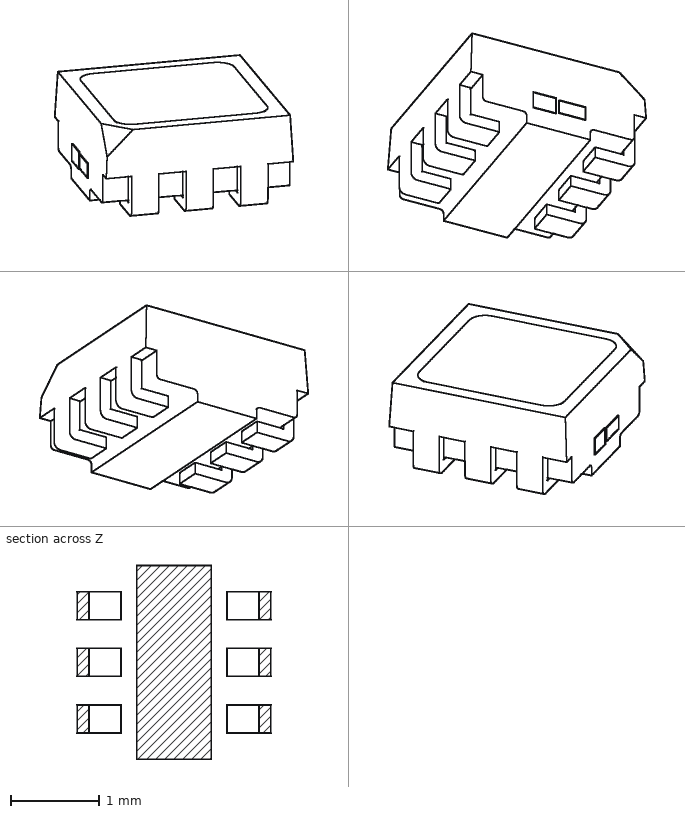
import cadquery as cq

body_width = 2.2
body_depth = 2.2
total_height = 1.05

housing_bottom = 0.5
draft_inset = 0.029
corner_cut = 0.295

cavity_width = 1.801
cavity_depth = 0.197
cavity_wall_angle = 45.0
cavity_corner_radius = 0.2
cavity_foot_radius = 0.201

core_width = 1.9
core_bottom = 0.148
core_radius = 0.049
rib_width = 0.8

lead_thickness = 0.14
lead_foot_length = 0.5
lead_bend_radius = 0.085
lead_width = 0.32
lead_pitch = 0.64
leads_per_side = 3

marking_height = 0.01
marking_embed = 0.022
emblem_pad = {"x": -0.177, "z": 0.335, "width": 0.287, "height": 0.208}
text_pad = {"x": 0.17, "z": 0.335, "width": 0.332, "height": 0.172}


def make_housing():
    """Block whose four sides lean inwards towards the top."""
    top_width = body_width - 2 * draft_inset
    top_depth = body_depth - 2 * draft_inset
    return (
        cq.Workplane("XY", origin=(0, 0, housing_bottom))
        .rect(body_width, body_depth)
        .workplane(offset=total_height - housing_bottom)
        .rect(top_width, top_depth)
        .loft(ruled=True)
    )


def make_corner_cut():
    """Block that removes the top corner at +X, -Y by an evenly tilted plane."""
    top_x = body_width / 2 - draft_inset
    top_y = -(body_depth / 2 - draft_inset)
    drop_share = corner_cut / (total_height - housing_bottom)
    edge_shift = draft_inset * drop_share

    on_front_edge = cq.Vector(top_x - corner_cut, top_y, total_height)
    on_side_edge = cq.Vector(top_x, top_y + corner_cut, total_height)
    on_corner_edge = cq.Vector(top_x + edge_shift, top_y - edge_shift, total_height - corner_cut)

    along_top = on_side_edge - on_front_edge
    outward = (on_corner_edge - on_front_edge).cross(along_top)
    cut_plane = cq.Plane(origin=on_front_edge, xDir=along_top, normal=outward)
    cutter_side = 4 * corner_cut
    return cq.Workplane(cut_plane).rect(cutter_side, cutter_side).extrude(corner_cut)


def make_cavity():
    """Tapered pocket with rounded corners, blended into its floor all the way round."""
    outline = (
        cq.Sketch()
        .rect(cavity_width, cavity_width)
        .vertices()
        .fillet(cavity_corner_radius)
    )
    return (
        cq.Workplane("XY", origin=(0, 0, total_height))
        .placeSketch(outline)
        .extrude(-cavity_depth, taper=cavity_wall_angle)
        .faces("<Z")
        .edges()
        .fillet(cavity_foot_radius)
    )


def make_core():
    """Full-depth core block and its central rib, with rounded lower corners."""
    block = cq.Workplane("XY").box(
        core_width, body_depth, housing_bottom - core_bottom, centered=(True, True, False)
    ).translate((0, 0, core_bottom))
    rib = cq.Workplane("XY").box(
        rib_width, body_depth, housing_bottom, centered=(True, True, False)
    )
    corner_level = cq.selectors.BoxSelector(
        (-body_width, -body_depth, core_bottom - core_radius),
        (body_width, body_depth, core_bottom + core_radius),
    )
    return block.union(rib).edges("|Y").edges(corner_level).fillet(core_radius)


def make_lead(y_centre):
    """One L-shaped lead on the -X side: an upright leg and a foot pointing inwards."""
    outer_x = -body_width / 2
    return (
        cq.Workplane("XZ", origin=(0, y_centre + lead_width / 2, 0))
        .moveTo(outer_x, housing_bottom)
        .lineTo(outer_x, lead_bend_radius)
        .radiusArc((outer_x + lead_bend_radius, 0), -lead_bend_radius)
        .lineTo(outer_x + lead_foot_length, 0)
        .lineTo(outer_x + lead_foot_length, lead_thickness)
        .lineTo(outer_x + lead_thickness, lead_thickness)
        .lineTo(outer_x + lead_thickness, housing_bottom)
        .close()
        .extrude(lead_width)
    )


def make_marking_pad(pad):
    """Plain raised pad covering the area of a marking."""
    front_y = -body_depth / 2
    return cq.Workplane("XY").box(
        pad["width"], marking_embed + marking_height, pad["height"]
    ).translate((pad["x"], front_y + (marking_embed - marking_height) / 2, pad["z"]))


result = make_housing().cut(make_corner_cut()).cut(make_cavity()).union(make_core())

for index in range(leads_per_side):
    lead = make_lead((index - (leads_per_side - 1) / 2) * lead_pitch)
    result = result.union(lead).union(lead.mirror("YZ"))

for pad in (emblem_pad, text_pad):
    result = result.union(make_marking_pad(pad))